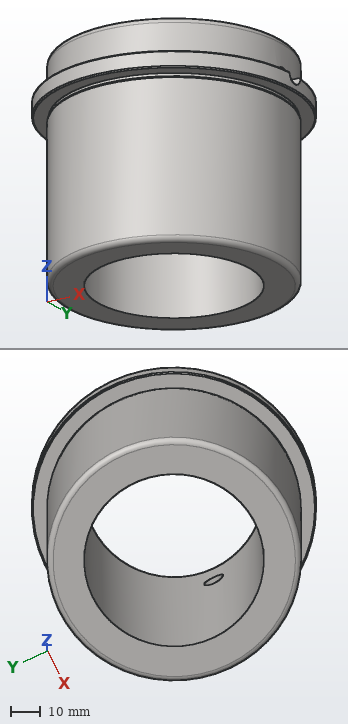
import cadquery as cq

height = 80.0
body_radius = 42.5
bore_radius = 30.0
end_fillet = 2.0

flange_radius = 47.5
flange_thickness = 6.1
flange_edge_chamfer = 0.5
collar_height = 14.0
flange_top = height - collar_height
flange_bottom = flange_top - flange_thickness

groove_depth = 0.5
groove_height = 1.7
groove_slope_height = 0.7

hole_diameter = 7.0


def make_body():
    """Bored cylinder with rounded outer edges at both ends."""
    body = cq.Workplane("XY").circle(body_radius).extrude(height)
    body = body.faces("<Z or >Z").edges().fillet(end_fillet)
    bore = cq.Workplane("XY").circle(bore_radius).extrude(height)
    return body.cut(bore)


def make_flange():
    """Solid disc with both rims chamfered, bored to clear the bushing bore."""
    disc = cq.Workplane("XY").workplane(offset=flange_bottom).circle(flange_radius).extrude(flange_thickness)
    disc = disc.edges().chamfer(flange_edge_chamfer)
    bore = cq.Workplane("XY").circle(bore_radius).extrude(height)
    return disc.cut(bore)


def make_groove():
    """Ring of material removed directly below the flange."""
    groove_radius = body_radius - groove_depth
    groove_bottom = flange_bottom - groove_height
    section = [
        (groove_radius, flange_bottom),
        (flange_radius, flange_bottom),
        (flange_radius, groove_bottom),
        (body_radius, groove_bottom),
        (groove_radius, groove_bottom + groove_slope_height),
    ]
    return cq.Workplane("XZ").polyline(section).close().revolve(360, (0, 0, 0), (0, 1, 0))


def make_radial_hole():
    """Cylinder running outward along +X; it also leaves a round notch in the flange."""
    return (
        cq.Workplane("YZ")
        .center(0, flange_top)
        .circle(hole_diameter / 2)
        .extrude(flange_radius + hole_diameter)
    )


result = make_body().union(make_flange()).cut(make_groove()).cut(make_radial_hole())